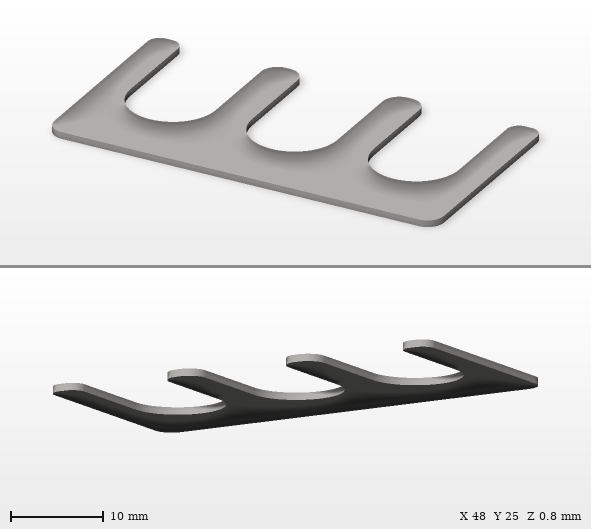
import cadquery as cq

length = 48.0
depth = 25.0
thickness = 0.8
base_corner_radius = 2.0

slot_count = 3
slot_width = 10.5
slot_depth = 17.75
slot_radius = slot_width / 2

outer_finger_width = 3.75
outer_tip_radius = 1.5
inner_tip_radius = 2.0
slot_pitch = (length - 2 * outer_finger_width - slot_width) / (slot_count - 1)
slot_positions = [(i - (slot_count - 1) / 2) * slot_pitch for i in range(slot_count)]

back_edge = depth / 2
slot_center_y = back_edge - slot_depth + slot_radius


def slot_cutter(x):
    """U-shaped slot centred at x, running out through the +Y edge."""
    return (
        cq.Workplane("XY")
        .moveTo(x - slot_radius, back_edge)
        .lineTo(x - slot_radius, slot_center_y)
        .threePointArc((x, slot_center_y - slot_radius), (x + slot_radius, slot_center_y))
        .lineTo(x + slot_radius, back_edge)
        .close()
        .extrude(thickness)
    )


def edges_at_tips(x_min, x_max):
    """Selector for the upright finger-tip edges between two X positions."""
    margin = outer_finger_width / 4
    return cq.selectors.BoxSelector(
        (x_min - margin, back_edge - margin, -thickness),
        (x_max + margin, back_edge + margin, 2 * thickness),
    )


plate = cq.Workplane("XY").box(length, depth, thickness, centered=(True, True, False))
plate = plate.edges("|Z and <Y").fillet(base_corner_radius)

for slot_x in slot_positions:
    plate = plate.cut(slot_cutter(slot_x))

for side in (-1, 1):
    edge_xs = sorted((side * length / 2, side * (length / 2 - outer_finger_width)))
    plate = plate.edges("|Z").edges(edges_at_tips(*edge_xs)).fillet(outer_tip_radius)

for left_slot, right_slot in zip(slot_positions, slot_positions[1:]):
    tip_edges = edges_at_tips(left_slot + slot_radius, right_slot - slot_radius)
    plate = plate.edges("|Z").edges(tip_edges).fillet(inner_tip_radius)

result = plate